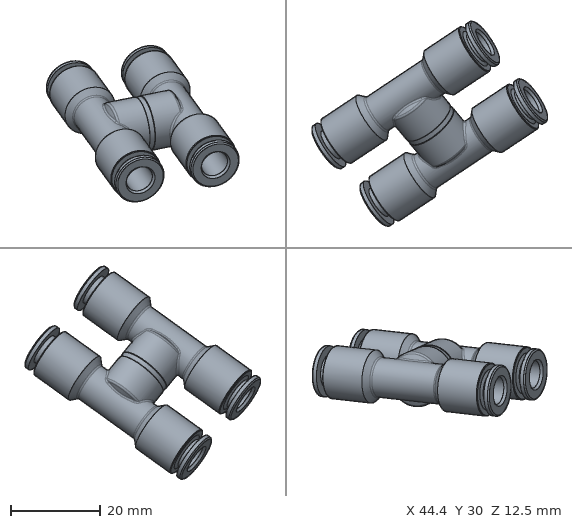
import cadquery as cq
import math

length = 44.4
run_spacing = 18.03
half_length = length / 2
run_offset = run_spacing / 2

tube_radius = 4.5
socket_radius = 6.0
seat_radius = 4.6
neck_radius = 3.7
collar_radius = 5.75

shoulder_start = 9.5
shoulder_foot = shoulder_start - (socket_radius - tube_radius)
socket_end = 19.4
seat_height = 0.35
collar_thickness = 1.2

shoulder_fillet = 0.6
socket_chamfer = 0.18
collar_chamfer = 0.3

passage_radius = 2.5
entry_radius = 3.1
mouth_radius = 3.45
mouth_depth = 0.65
entry_floor = shoulder_foot

stem_radius = 6.25
stem_shoulder = 7.6
stem_cone_angle = 26
stem_cone_radius = stem_radius - (run_offset - stem_shoulder) / math.tan(math.radians(stem_cone_angle))
stem_edge_fillet = 0.58
junction_fillet = 0.45

groove_width = 1.35
groove_depth = 0.1

selection_margin = 0.05


def turned(points, axis_end):
    """Solid of revolution about the line from the origin to axis_end."""
    return cq.Workplane("XY").polyline(points).close().revolve(360, (0, 0), axis_end)


def turned_about_x(points):
    """Solid of revolution from (x, radius) points."""
    return turned(points, (1, 0))


def turned_about_y(points):
    """Solid of revolution from (radius, y) points."""
    return turned(points, (0, 1))


def box_around(half_x, half_y, half_z):
    """Selector for everything inside a box centred on the origin."""
    corner = (half_x, half_y, half_z)
    return cq.selectors.BoxSelector([-size for size in corner], corner, boundingbox=True)


def run_middle():
    """Plain tube with a conical shoulder widening towards each socket."""
    middle = turned_about_x([
        (-shoulder_start, 0),
        (-shoulder_start, socket_radius),
        (-shoulder_foot, tube_radius),
        (shoulder_foot, tube_radius),
        (shoulder_start, socket_radius),
        (shoulder_start, 0),
    ])
    foot_radius = tube_radius + selection_margin
    foot_edges = box_around(shoulder_foot + selection_margin, foot_radius, foot_radius)
    return middle.edges(foot_edges).edges("%CIRCLE").fillet(shoulder_fillet)


def stem_groove():
    """Ring of material to remove around the middle of the stem."""
    floor_radius = stem_radius - groove_depth
    clear_radius = stem_radius + groove_depth
    floor_half = groove_width / 2 - groove_depth
    clear_half = groove_width / 2 + groove_depth
    return turned_about_y([
        (floor_radius, -floor_half),
        (clear_radius, -clear_half),
        (clear_radius, clear_half),
        (floor_radius, floor_half),
    ])


def stem():
    """Grooved cylinder on the Y axis with rounded, slightly conical ends."""
    body = turned_about_y([
        (0, -run_offset),
        (stem_cone_radius, -run_offset),
        (stem_radius, -stem_shoulder),
        (stem_radius, stem_shoulder),
        (stem_cone_radius, run_offset),
        (0, run_offset),
    ])
    rim_radius = stem_radius + selection_margin
    rims = box_around(rim_radius, stem_shoulder + selection_margin, rim_radius)
    return body.edges(rims).edges("%CIRCLE").fillet(stem_edge_fillet).cut(stem_groove())


def end_fitting():
    """Socket, conical seat, neck and release collar at the +X end of a run."""
    collar_start = half_length - collar_thickness
    return turned_about_x([
        (shoulder_start, 0),
        (shoulder_start, socket_radius),
        (socket_end - socket_chamfer, socket_radius),
        (socket_end, socket_radius - socket_chamfer),
        (socket_end, seat_radius),
        (socket_end + seat_height, neck_radius),
        (collar_start, neck_radius),
        (collar_start, collar_radius),
        (half_length - collar_chamfer, collar_radius),
        (half_length, collar_radius - collar_chamfer),
        (half_length, 0),
    ])


def half_bore():
    """Passage from the middle of a run to its tube entry at the +X end."""
    return turned_about_x([
        (0, 0),
        (0, passage_radius),
        (entry_floor, passage_radius),
        (entry_floor + entry_radius - passage_radius, entry_radius),
        (half_length - mouth_depth, entry_radius),
        (half_length, mouth_radius),
        (half_length, 0),
    ])


def both_ends(half):
    """A +X half of a run together with its mirror image."""
    return half.union(half.mirror("YZ"))


def on_both_runs(body):
    """Copies of a body centred on each of the two run axes."""
    return body.translate((0, -run_offset, 0)).union(body.translate((0, run_offset, 0)))


result = stem().union(on_both_runs(run_middle()))

junction_edges = box_around(
    stem_radius + selection_margin,
    run_offset + selection_margin,
    stem_radius - selection_margin,
)
result = result.edges(junction_edges).edges("not %CIRCLE").edges("not %LINE").fillet(junction_fillet)

result = result.union(on_both_runs(both_ends(end_fitting())))
result = result.cut(on_both_runs(both_ends(half_bore())))